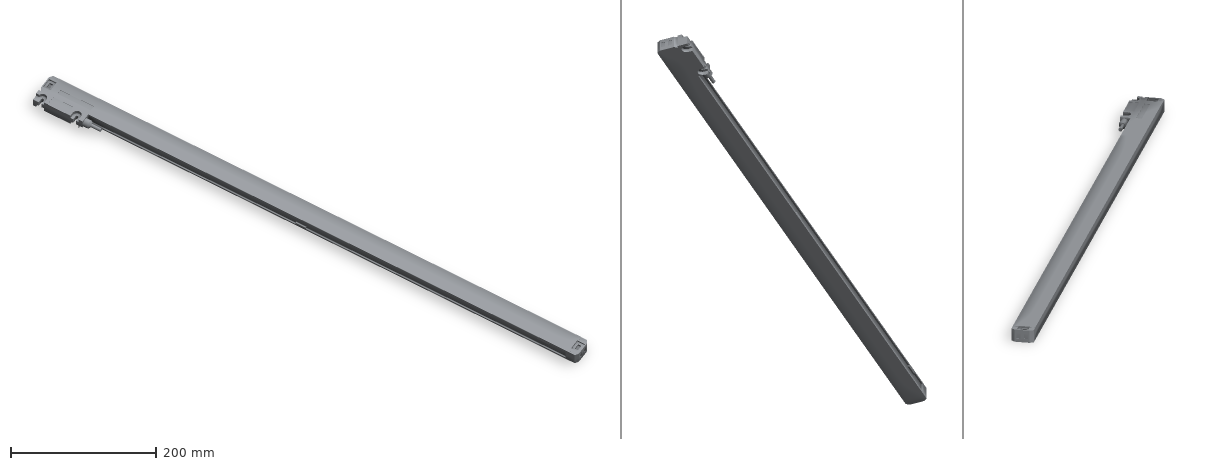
import cadquery as cq

LENGTH = 875.0
HEIGHT = 18.0
DEPTH = 46.0

RAIL_DEPTH = 31.5
RAIL_FRONT = DEPTH - RAIL_DEPTH
RAIL_MID = RAIL_FRONT + RAIL_DEPTH / 2
END_BLOCK_LENGTH = 12.0
END_BLOCK_STEP = 0.35
CORNER_LENGTH = 3.5
CORNER_DEPTH = 5.0
CHANNEL_LIP = 3.0
CHANNEL_DEPTH = 2.2
CHANNEL_INSET = 18.0

POCKET_START = 2.0
POCKET_LENGTH = 12.0
POCKET_WIDTH = 16.0
POCKET_DEPTH = 3.0
POCKET_LEDGE = 3.5
WELL_DEPTH = 5.0
FACE_RECESS_WIDTH = 16.0
FACE_RECESS_HEIGHT = 8.0
FACE_RECESS_DEPTH = 1.0
FACE_RIB_WIDTH = 5.0

CLIP_HEIGHT = 3.0
UPPER_CLIP_START = 810.0
UPPER_CLIP_LENGTH = 19.0
LOWER_CLIP_START = 417.0
LOWER_CLIP_LENGTH = 17.0

LABEL_DEPTH = 0.4
RAIL_LABEL_START = 25.0
RAIL_LABEL_LENGTH = 54.0
RAIL_LABEL_WIDTH = 8.0
RAIL_LABEL_FRONT = RAIL_FRONT + 8.0
HEAD_LABEL_START = 24.0
HEAD_LABEL_LENGTH = 32.0

HEAD_LENGTH = 80.5
HEAD_DEPTH = RAIL_FRONT
HEAD_BOLTS_X = (11.0, 67.0)
HEAD_BOLT_Y = 6.0
BOLT_SLOT_WIDTH = 4.0
HEAD_EAR_WIDTH = 13.0
EAR_RECESS = 5.0
END_NOTCH_DEPTH = 8.0
UNDERCUT_LENGTH = 6.0
OUTLET_Y = 6.0
OUTLET_Z = 10.5
OUTLET_DIAMETER = 12.0
OUTLET_LENGTH = 10.5
OUTLET_CHAMFER = 3.0
CABLE_DIAMETER = 5.0
CABLE_END = 107.0


def block(x, y, z, length, depth, height):
    """Box placed by its lowest corner."""
    return cq.Workplane("XY").box(length, depth, height, centered=False).translate((x, y, z))


def front_slot(x, width, bottom, height):
    """Round-ended slot that opens at the front of the head."""
    radius = width / 2
    return (
        cq.Workplane("XY", origin=(x, 0, bottom))
        .moveTo(-radius, 0)
        .lineTo(-radius, HEAD_BOLT_Y)
        .threePointArc((0, HEAD_BOLT_Y + radius), (radius, HEAD_BOLT_Y))
        .lineTo(radius, 0)
        .close()
        .extrude(height)
    )


def end_block_cut():
    """Everything removed from the left end block of the rail."""
    step = block(0, RAIL_FRONT, HEIGHT - END_BLOCK_STEP, END_BLOCK_LENGTH, RAIL_DEPTH, END_BLOCK_STEP)

    pocket = block(
        POCKET_START, RAIL_MID - POCKET_WIDTH / 2, HEIGHT - POCKET_DEPTH,
        POCKET_LENGTH, POCKET_WIDTH, POCKET_DEPTH,
    )
    well_width = POCKET_WIDTH - 2 * POCKET_LEDGE
    well = block(
        POCKET_START + POCKET_LEDGE, RAIL_MID - well_width / 2, HEIGHT - WELL_DEPTH,
        POCKET_LENGTH - 2 * POCKET_LEDGE, well_width, WELL_DEPTH,
    )

    recess_z = (HEIGHT - FACE_RECESS_HEIGHT) / 2
    recess = block(
        0, RAIL_MID - FACE_RECESS_WIDTH / 2, recess_z,
        FACE_RECESS_DEPTH, FACE_RECESS_WIDTH, FACE_RECESS_HEIGHT,
    )
    rib = block(
        0, RAIL_MID - FACE_RIB_WIDTH / 2, recess_z,
        FACE_RECESS_DEPTH, FACE_RIB_WIDTH, FACE_RECESS_HEIGHT,
    )
    return step.union(pocket).union(well).union(recess.cut(rib))


def make_rail():
    rail = (
        cq.Workplane("XY")
        .moveTo(CORNER_LENGTH, RAIL_FRONT)
        .lineTo(LENGTH - CORNER_LENGTH, RAIL_FRONT)
        .lineTo(LENGTH, RAIL_FRONT + CORNER_DEPTH)
        .lineTo(LENGTH, DEPTH - CORNER_DEPTH)
        .lineTo(LENGTH - CORNER_LENGTH, DEPTH)
        .lineTo(CORNER_LENGTH, DEPTH)
        .lineTo(0, DEPTH - CORNER_DEPTH)
        .lineTo(0, RAIL_FRONT + CORNER_DEPTH)
        .close()
        .extrude(HEIGHT)
    )

    channel_length = LENGTH - 2 * CHANNEL_INSET
    channel_height = HEIGHT - 2 * CHANNEL_LIP
    rail = rail.cut(
        block(CHANNEL_INSET, RAIL_FRONT, CHANNEL_LIP, channel_length, CHANNEL_DEPTH, channel_height)
    )

    upper_clip_z = HEIGHT - CHANNEL_LIP - CLIP_HEIGHT
    clips = (
        (UPPER_CLIP_START, upper_clip_z, UPPER_CLIP_LENGTH),
        (LOWER_CLIP_START, CHANNEL_LIP, LOWER_CLIP_LENGTH),
    )
    for start, bottom, length in clips:
        rail = rail.union(block(start, RAIL_FRONT, bottom, length, CHANNEL_DEPTH, CLIP_HEIGHT))

    left_cut = end_block_cut()
    right_cut = left_cut.mirror("YZ").translate((LENGTH, 0, 0))
    rail = rail.cut(left_cut).cut(right_cut)

    return rail.cut(
        block(
            RAIL_LABEL_START, RAIL_LABEL_FRONT, HEIGHT - LABEL_DEPTH,
            RAIL_LABEL_LENGTH, RAIL_LABEL_WIDTH, LABEL_DEPTH,
        )
    )


def make_head():
    head = block(0, 0, 0, HEAD_LENGTH, HEAD_DEPTH, HEIGHT)

    for x in HEAD_BOLTS_X:
        head = head.cut(front_slot(x, BOLT_SLOT_WIDTH, 0, HEIGHT))
        for bottom in (0, HEIGHT - EAR_RECESS):
            head = head.cut(front_slot(x, HEAD_EAR_WIDTH, bottom, EAR_RECESS))

    head = head.cut(block(0, 0, HEIGHT - EAR_RECESS, HEAD_BOLTS_X[0], END_NOTCH_DEPTH, EAR_RECESS))
    head = head.cut(block(HEAD_LENGTH - UNDERCUT_LENGTH, 0, 0, UNDERCUT_LENGTH, HEAD_DEPTH, EAR_RECESS))

    head = head.cut(
        block(HEAD_LABEL_START, 0, HEIGHT - LABEL_DEPTH, HEAD_LABEL_LENGTH, HEAD_DEPTH, LABEL_DEPTH)
    )

    outlet_plane = cq.Workplane("YZ", origin=(HEAD_LENGTH, OUTLET_Y, OUTLET_Z))
    outlet = outlet_plane.circle(OUTLET_DIAMETER / 2).extrude(OUTLET_LENGTH)
    outlet = outlet.faces(">X").chamfer(OUTLET_CHAMFER)
    cable = outlet_plane.circle(CABLE_DIAMETER / 2).extrude(CABLE_END - HEAD_LENGTH)
    return head.union(outlet).union(cable)


rail = make_rail()
head = make_head()

result = cq.Compound.makeCompound([rail.val(), head.val()])